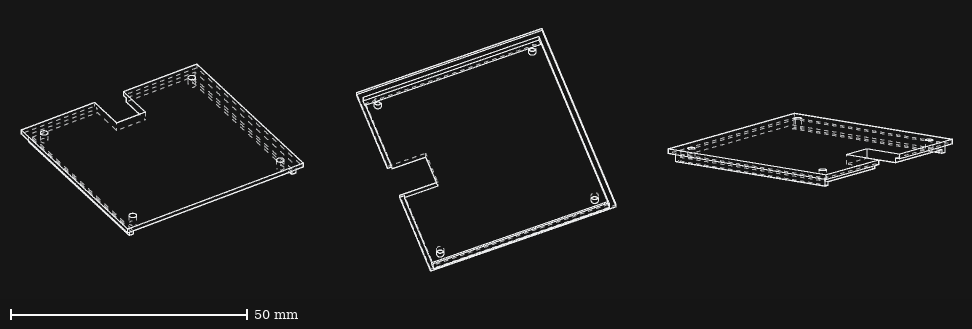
import cadquery as cq

plate_x = 42.0
plate_y = 44.0
total_height = 2.8
plate_thickness = 1.0
step_height = 1.0
rib_height = total_height - plate_thickness - step_height

step_inset = 1.1
step_x = plate_x - 2 * step_inset
step_y = plate_y - 2 * step_inset
rib_width = 1.1

hole_diameter = 1.6
hole_inset = 3.5

notch_depth = 8.65
notch_width = 7.15


def make_plate():
    return cq.Workplane("XY").box(plate_x, plate_y, plate_thickness, centered=(True, True, False))


def make_step():
    return cq.Workplane("XY").rect(step_x, step_y).extrude(-step_height)


def make_ribs():
    """Two ribs along X, flush with the +Y and -Y faces of the step."""
    rib_y = (step_y - rib_width) / 2
    return (
        cq.Workplane("XY")
        .workplane(offset=-step_height)
        .pushPoints([(0, -rib_y), (0, rib_y)])
        .rect(step_x, rib_width)
        .extrude(-rib_height)
    )


def make_notch():
    return (
        cq.Workplane("XY")
        .center((notch_depth - plate_x) / 2, 0)
        .rect(notch_depth, notch_width)
        .extrude(total_height, both=True)
    )


def make_holes():
    return (
        cq.Workplane("XY")
        .rect(plate_x - 2 * hole_inset, plate_y - 2 * hole_inset, forConstruction=True)
        .vertices()
        .circle(hole_diameter / 2)
        .extrude(total_height, both=True)
    )


body = make_plate().union(make_step()).union(make_ribs())
result = body.cut(make_notch()).cut(make_holes())